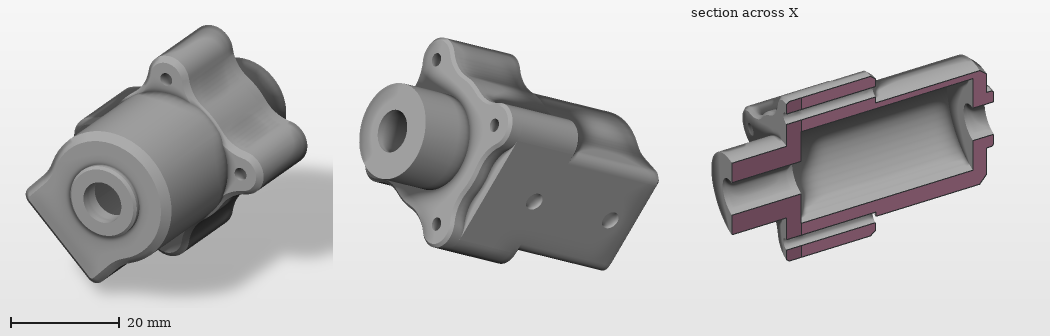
import cadquery as cq
import math

FLANGE_LENGTH = 15.0
BARREL_LENGTH = 22.5
BOSS_LENGTH = 1.45
COVER_THICKNESS = 3.0
OVERALL_LENGTH = 53.0
TUBE_LENGTH = OVERALL_LENGTH - FLANGE_LENGTH - BARREL_LENGTH - BOSS_LENGTH - COVER_THICKNESS
BARREL_END = FLANGE_LENGTH + BARREL_LENGTH
NOSE_END = BARREL_END + BOSS_LENGTH

OUTER_RADIUS = 20.0
LOBE_RADIUS = 4.3
LOBE_ORBIT = OUTER_RADIUS - LOBE_RADIUS
LOBE_OFFSET = LOBE_ORBIT / math.sqrt(2)
FLANGE_RADIUS = 13.4
BLEND_RADIUS = 15.0 / 2
LOBE_ANGLES = (45, 135, 225, 315)
SCREW_HOLE_DIAMETER = 2.5
FLANGE_CHAMFER = 1.0
COVER_CHAMFER = 0.6

BARREL_RADIUS = 13.0
FOOT_DEPTH = LOBE_OFFSET + LOBE_RADIUS
FOOT_HALF_WIDTH = 10.95
FOOT_CORNER_RADIUS = 2.0
BARREL_CHAMFER = 1.45
BOSS_DIAMETER = 14.0
BOSS_CHAMFER = 0.5

BORE_DIAMETER = 8.0
BORE_DEPTH = 4.25
CAVITY_DIAMETER = 22.8
CAVITY_DEPTH = NOSE_END - BORE_DEPTH
FOOT_HOLE_DIAMETER = 3.5
FOOT_HOLE_SETBACK = 8.5
FOOT_HOLE_SPACING = 19.05
TUBE_DIAMETER = 18.0


def section_plane(distance):
    """Plane across the axis, `distance` in front of the joint, with its local -Y toward the foot."""
    return cq.Plane(origin=(0, -distance, 0), xDir=(1, 0, -1), normal=(0, -1, 0))


def polar(radius, angle, centre=(0, 0)):
    """Point at `radius` and `angle` (radians) from `centre`."""
    return (centre[0] + radius * math.cos(angle), centre[1] + radius * math.sin(angle))


def toward(start, end, distance):
    """Point `distance` away from `start` on the line to `end`."""
    return polar(distance, math.atan2(end[1] - start[1], end[0] - start[0]), start)


def arc_middle(centre, radius, start, end):
    """Middle point of the shorter arc from `start` to `end`."""
    return toward(centre, ((start[0] + end[0]) / 2, (start[1] + end[1]) / 2), radius)


def mirrored(point):
    """Point reflected across the local Y axis."""
    return (-point[0], point[1])


def lobed_plate(plane, length):
    """Round plate with four lobes, each blended into the rim by two concave arcs."""
    rim_reach = FLANGE_RADIUS + BLEND_RADIUS
    lobe_reach = LOBE_RADIUS + BLEND_RADIUS
    blend_angle = math.acos(
        (rim_reach**2 + LOBE_ORBIT**2 - lobe_reach**2) / (2 * rim_reach * LOBE_ORBIT)
    )
    rim_half_angle = math.pi / 4 - blend_angle

    outline = cq.Workplane(plane).moveTo(*polar(FLANGE_RADIUS, rim_half_angle))
    for angle in map(math.radians, LOBE_ANGLES):
        lobe = polar(LOBE_ORBIT, angle)
        blend_in = polar(rim_reach, angle - blend_angle)
        blend_out = polar(rim_reach, angle + blend_angle)
        rim_end = polar(FLANGE_RADIUS, angle - blend_angle)
        lobe_start = toward(lobe, blend_in, LOBE_RADIUS)
        lobe_end = toward(lobe, blend_out, LOBE_RADIUS)
        rim_start = polar(FLANGE_RADIUS, angle + blend_angle)
        next_rim_middle = polar(FLANGE_RADIUS, angle + math.pi / 4)
        next_rim_end = polar(FLANGE_RADIUS, angle + math.pi / 4 + rim_half_angle)
        outline = (
            outline
            .threePointArc(arc_middle(blend_in, BLEND_RADIUS, rim_end, lobe_start), lobe_start)
            .threePointArc(polar(OUTER_RADIUS, angle), lobe_end)
            .threePointArc(arc_middle(blend_out, BLEND_RADIUS, lobe_end, rim_start), rim_start)
            .threePointArc(next_rim_middle, next_rim_end)
        )
    return outline.close().extrude(length)


def flat_flange():
    """Lobed flange of the housing, filled flush between the two lobes on the foot side."""
    filler = (
        cq.Workplane(section_plane(0))
        .center(0, -(LOBE_OFFSET + FOOT_DEPTH) / 2)
        .rect(2 * LOBE_OFFSET, FOOT_DEPTH - LOBE_OFFSET)
        .extrude(FLANGE_LENGTH)
    )
    flange = lobed_plate(section_plane(0), FLANGE_LENGTH).union(filler).clean()
    return flange.faces("<Y").chamfer(FLANGE_CHAMFER)


def screw_holes(plane, length):
    """Cylinders to cut from the four lobes."""
    return (
        cq.Workplane(plane)
        .polarArray(LOBE_ORBIT, LOBE_ANGLES[0], 360, len(LOBE_ANGLES))
        .circle(SCREW_HOLE_DIAMETER / 2)
        .extrude(length)
    )


def footed_barrel():
    """Round barrel whose sides blend into a flat-bottomed foot, chamfered at the front."""
    start = FLANGE_LENGTH - FLANGE_CHAMFER
    blend_x = FOOT_HALF_WIDTH + BLEND_RADIUS
    blend_y = -math.sqrt((BARREL_RADIUS + BLEND_RADIUS) ** 2 - blend_x**2)
    blend = (blend_x, blend_y)
    rim_right = toward((0, 0), blend, BARREL_RADIUS)
    side_right = (FOOT_HALF_WIDTH, blend_y)
    corner_right = (FOOT_HALF_WIDTH, -FOOT_DEPTH)
    blend_middle_right = arc_middle(blend, BLEND_RADIUS, rim_right, side_right)

    barrel = (
        cq.Workplane(section_plane(start))
        .moveTo(*corner_right)
        .lineTo(*side_right)
        .threePointArc(blend_middle_right, rim_right)
        .threePointArc((0, BARREL_RADIUS), mirrored(rim_right))
        .threePointArc(mirrored(blend_middle_right), mirrored(side_right))
        .lineTo(*mirrored(corner_right))
        .close()
        .extrude(BARREL_END - start)
    )
    for corner in (corner_right, mirrored(corner_right)):
        corner_edge = cq.selectors.NearestToPointSelector(
            section_plane((start + BARREL_END) / 2).toWorldCoords(corner).toTuple()
        )
        barrel = barrel.edges("|Y").edges(corner_edge).fillet(FOOT_CORNER_RADIUS)
    return barrel.faces("<Y").chamfer(BARREL_CHAMFER)


def front_boss():
    """Short round boss on the front face, with a chamfered rim."""
    boss = cq.Workplane(section_plane(BARREL_END)).circle(BOSS_DIAMETER / 2).extrude(BOSS_LENGTH)
    return boss.faces("<Y").chamfer(BOSS_CHAMFER)


def foot_holes():
    """Two cylinders that enter the foot's flat face and reach the cavity."""
    front_hole = NOSE_END - FOOT_HOLE_SETBACK
    foot_face = cq.Plane(origin=(0, 0, 0), xDir=(0, -1, 0), normal=(-1, 0, -1))
    return (
        cq.Workplane(foot_face)
        .pushPoints([(front_hole, 0), (front_hole - FOOT_HOLE_SPACING, 0)])
        .circle(FOOT_HOLE_DIAMETER / 2)
        .extrude(FOOT_DEPTH)
    )


def make_housing():
    """Housing: flange, barrel and boss around a stepped bore."""
    body = flat_flange().union(footed_barrel()).union(front_boss())
    cavity = cq.Workplane(section_plane(0)).circle(CAVITY_DIAMETER / 2).extrude(CAVITY_DEPTH)
    bore = cq.Workplane(section_plane(0)).circle(BORE_DIAMETER / 2).extrude(NOSE_END)
    body = body.cut(cavity).cut(bore).cut(foot_holes())
    return body.cut(screw_holes(section_plane(0), FLANGE_LENGTH))


def make_cover():
    """Rear cover: lobed plate with a tube, bored through."""
    plate_back = section_plane(-COVER_THICKNESS)
    tube_end = section_plane(-COVER_THICKNESS - TUBE_LENGTH)
    plate = lobed_plate(plate_back, COVER_THICKNESS).faces(">Y").chamfer(COVER_CHAMFER)
    plate = plate.cut(screw_holes(plate_back, COVER_THICKNESS))
    tube = cq.Workplane(tube_end).circle(TUBE_DIAMETER / 2).extrude(TUBE_LENGTH)
    bore = cq.Workplane(tube_end).circle(BORE_DIAMETER / 2).extrude(TUBE_LENGTH + COVER_THICKNESS)
    return plate.union(tube).cut(bore)


housing = make_housing()
cover = make_cover()

result = cq.Compound.makeCompound([housing.val(), cover.val()])